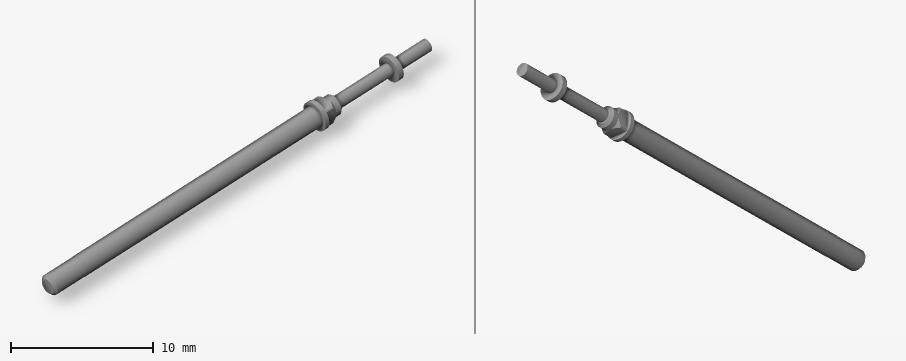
import cadquery as cq

total_length = 36.2
collar_start = 3.2
collar_width = 0.47
nose_start = 8.7
nose_length = 0.25
square_start = 9.4
flange_start = 10.4
flange_width = 0.35
tail_length = 3.0
tail_chamfer = 0.2

plunger_diameter = 1.0
collar_diameter = 2.05
nose_tip_diameter = 1.2
barrel_diameter = 1.65
square_width = 1.63
square_lead_in = 0.3
square_corner_diameter = 2.17
flange_diameter = 2.3
tail_diameter = 1.63


def along_axis(start, length, diameter):
    """Cylinder on the part axis, starting a given distance behind the tip."""
    face = cq.Workplane("XZ", origin=(0, total_length / 2 - start, 0))
    return face.circle(diameter / 2).extrude(length)


def cone_along_axis(start, length, front_diameter, rear_diameter):
    """Cone on the part axis, running from the front to the rear diameter."""
    solid = cq.Solid.makeCone(
        front_diameter / 2,
        rear_diameter / 2,
        length,
        pnt=cq.Vector(0, total_length / 2 - start, 0),
        dir=cq.Vector(0, -1, 0),
    )
    return cq.Workplane(solid)


def make_plunger():
    """Thin front pin with its stop collar."""
    pin = along_axis(0, nose_start, plunger_diameter)
    return pin.union(along_axis(collar_start, collar_width, collar_diameter))


def make_square_section():
    """Square with turned-off corners and a conical lead-in at its front."""
    length = flange_start - square_start
    face = cq.Workplane("XZ", origin=(0, total_length / 2 - square_start, 0))
    square = face.rect(square_width, square_width).extrude(length)
    lead_in = cone_along_axis(square_start, square_lead_in, square_width, square_corner_diameter)
    turned = along_axis(square_start + square_lead_in, length - square_lead_in, square_corner_diameter)
    envelope = lead_in.union(turned)
    return square.intersect(envelope)


def make_barrel():
    """Long round body with a tapered nose in front of it and a flange."""
    neck_start = nose_start + nose_length
    tail_start = total_length - tail_length
    rear_start = flange_start + flange_width
    nose = cone_along_axis(nose_start, nose_length, nose_tip_diameter, barrel_diameter)
    neck = along_axis(neck_start, square_start - neck_start, barrel_diameter)
    flange = along_axis(flange_start, flange_width, flange_diameter)
    body = along_axis(rear_start, tail_start - rear_start, barrel_diameter)
    front = nose.union(neck).union(make_square_section())
    return front.union(flange).union(body)


def make_tail():
    """Rear end piece with a chamfered rim."""
    tail = along_axis(total_length - tail_length, tail_length, tail_diameter)
    return tail.faces("<Y").edges().chamfer(tail_chamfer)


result = make_plunger().union(make_barrel()).union(make_tail())